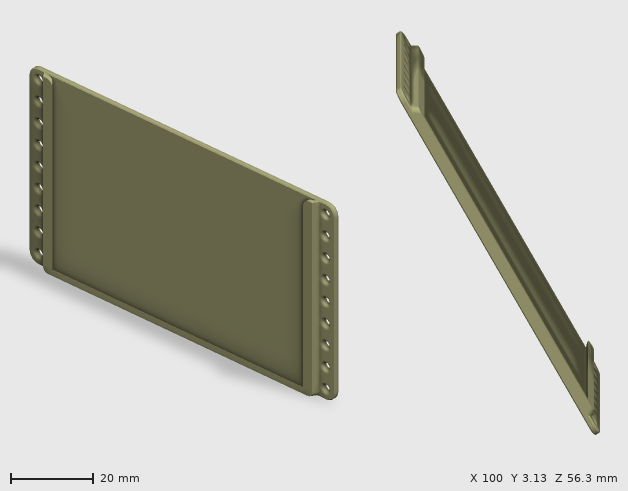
import cadquery as cq

LENGTH = 100.0
UNITS_ALONG_LENGTH = 16
UNITS_ALONG_HEIGHT = 9
PITCH = LENGTH / UNITS_ALONG_LENGTH
HEIGHT = UNITS_ALONG_HEIGHT * PITCH
PLATE_THICKNESS = PITCH / 4
TOTAL_DEPTH = 2 * PLATE_THICKNESS
CORNER_RADIUS = PITCH / 2
EDGE_CHAMFER = 0.3

HOLE_DIAMETER = 2.0
HOLE_RIM_ROUND = 0.8

FRAME_BACK_HALF = 45.0
FRAME_FRONT_HALF = 44.0
FRAME_CORNER_RADIUS = PITCH / 4

OPENING_HALF = 41.0
OPENING_BOTTOM_WALL = 1.7
LABEL_GAP = 0.5
LIP_OVERHANG = TOTAL_DEPTH - PLATE_THICKNESS - LABEL_GAP
SLOT_END_RADIUS = 2.0

BACK_Y = TOTAL_DEPTH / 2
PLATE_FRONT_Y = BACK_Y - PLATE_THICKNESS
FRONT_Y = -TOTAL_DEPTH / 2
LIP_START_Y = PLATE_FRONT_Y - LABEL_GAP
BOTTOM_Z = -HEIGHT / 2
FRAME_TOP_Z = HEIGHT / 2 - EDGE_CHAMFER


def make_plate():
    """Rounded rectangular plate with both rims chamfered."""
    plate = cq.Workplane("XZ", origin=(0, BACK_Y, 0)).rect(LENGTH, HEIGHT).extrude(PLATE_THICKNESS)
    plate = plate.edges("|Y").fillet(CORNER_RADIUS)
    return plate.faces("<Y or >Y").edges().chamfer(EDGE_CHAMFER)


def frame_outline(workplane, half_width):
    """Rectangle with its two bottom corners rounded."""
    radius = FRAME_CORNER_RADIUS
    return (
        workplane.moveTo(-half_width, FRAME_TOP_Z)
        .lineTo(-half_width, BOTTOM_Z + radius)
        .radiusArc((-half_width + radius, BOTTOM_Z), -radius)
        .lineTo(half_width - radius, BOTTOM_Z)
        .radiusArc((half_width, BOTTOM_Z + radius), -radius)
        .lineTo(half_width, FRAME_TOP_Z)
        .close()
    )


def slot_outline(workplane, overhang):
    """Slot open at the top, where its sides flare outward; overhang widens it."""
    half_width = OPENING_HALF + overhang
    floor_z = BOTTOM_Z + OPENING_BOTTOM_WALL - overhang
    radius = SLOT_END_RADIUS
    return (
        workplane.moveTo(-half_width, floor_z)
        .lineTo(half_width, floor_z)
        .lineTo(half_width, FRAME_TOP_Z - radius)
        .radiusArc((half_width + radius, FRAME_TOP_Z), radius)
        .lineTo(-half_width - radius, FRAME_TOP_Z)
        .radiusArc((-half_width, FRAME_TOP_Z - radius), radius)
        .close()
    )


def make_frame():
    """Tapered frame, with a foot that fills the plate's front chamfer along the bottom."""
    depth = PLATE_FRONT_Y - FRONT_Y
    back_plane = cq.Workplane("XZ", origin=(0, PLATE_FRONT_Y, 0))
    outline = frame_outline(back_plane, FRAME_BACK_HALF)
    body = frame_outline(outline.workplane(offset=depth), FRAME_FRONT_HALF).loft(ruled=True)
    foot = frame_outline(back_plane, FRAME_BACK_HALF).extrude(-EDGE_CHAMFER)
    return body.union(foot)


def leaning_outline(workplane, overhang):
    """Plain rectangle of the slot without its flared top; overhang widens it."""
    half_width = OPENING_HALF + overhang
    floor_z = BOTTOM_Z + OPENING_BOTTOM_WALL - overhang
    return (
        workplane.moveTo(-half_width, floor_z)
        .lineTo(half_width, floor_z)
        .lineTo(half_width, FRAME_TOP_Z)
        .lineTo(-half_width, FRAME_TOP_Z)
        .close()
    )


def make_slot():
    """Space for the label: straight by the plate, narrowing to the flared front opening."""
    label_plane = cq.Workplane("XZ", origin=(0, PLATE_FRONT_Y, 0))
    straight = slot_outline(label_plane, LIP_OVERHANG).extrude(LABEL_GAP)
    lip_plane = cq.Workplane("XZ", origin=(0, LIP_START_Y, 0))
    lip_depth = LIP_START_Y - FRONT_Y
    outline = leaning_outline(lip_plane, LIP_OVERHANG)
    narrowing = leaning_outline(outline.workplane(offset=lip_depth), 0).loft(ruled=True)
    opening = slot_outline(lip_plane, 0).extrude(lip_depth)
    return straight.union(narrowing).union(opening)


def make_hole():
    """Hole cutter along Y, flared by a round rim at the plate's front face."""
    radius = HOLE_DIAMETER / 2
    return (
        cq.Workplane("XY")
        .moveTo(0, BACK_Y)
        .lineTo(radius, BACK_Y)
        .lineTo(radius, PLATE_FRONT_Y + HOLE_RIM_ROUND)
        .radiusArc((radius + HOLE_RIM_ROUND, PLATE_FRONT_Y), -HOLE_RIM_ROUND)
        .lineTo(0, PLATE_FRONT_Y)
        .close()
        .revolve(360, (0, 0, 0), (0, 1, 0))
    )


result = make_plate().union(make_frame()).cut(make_slot())

hole = make_hole()
hole_x = LENGTH / 2 - PITCH / 2
for index in range(UNITS_ALONG_HEIGHT):
    hole_z = (index - (UNITS_ALONG_HEIGHT - 1) / 2) * PITCH
    for side in (-1, 1):
        result = result.cut(hole.translate((side * hole_x, 0, hole_z)))